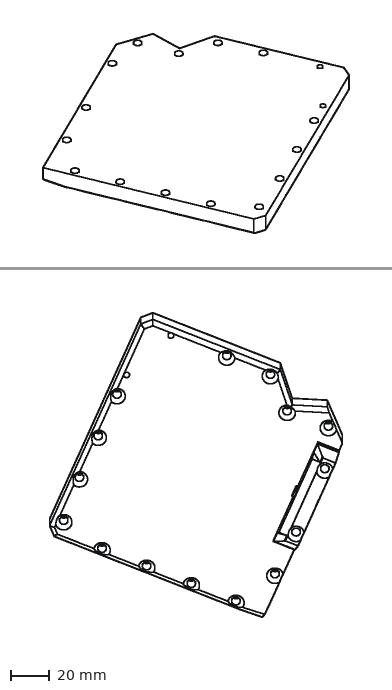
import cadquery as cq
import math

LENGTH_X = 121.25
WIDTH_Y = 130.73
TOTAL_HEIGHT = 18.73
PLATE_THICKNESS = 12.0

RIGHT_CORNER_CUT = 4.75
LEFT_CORNER_CUT = 14.75
LEFT_CUT_START_Y = 106.4
NOTCH_BOTTOM = (31.8, 115.1)
NOTCH_RIGHT_X = 45.1
FRONT_BEVEL = 2.85
BOTTOM_BEVEL = 2.4

CORNER_BEVEL_DEPTH = 7.6
CORNER_BEVEL_Y = 3.2
CORNER_BEVEL_EDGE_DEPTH = 11.0
CORNER_RELIEF_X = 12.0
CORNER_RELIEF_Y = 9.5
CORNER_BEVEL_RISE = 1.5

FLANGE_CENTER_Y = 72.5
FLANGE_LENGTH = 58.6
FLANGE_THICKNESS = 12.0
FLANGE_BEVEL_Y = 4.4
FLANGE_BEVEL_Z = 4.7
FLANGE_STEP_X = 7.2
FLANGE_STEP_HEIGHT = 0.4
FLANGE_FLARE_Y = 0.4
FLANGE_FLARE_Z = 1.0
RELIEF_LENGTH = 7.5
RELIEF_WALL_TILT = 27.0
PORT_DIAMETER = 6.4
PORT_DEPTH = 13.1
PORT_END_TILT = 23.0

SCREW_DIAMETER = 4.4
SINK_DIAMETER = 8.5
SINK_ANGLE = 75.0
DOWEL_DIAMETER = 3.0
EDGE_INSET = 3.6
HOLE_PITCH = 25.0
FRONT_ROW_START_X = 16.35
FRONT_ROW_COUNT = 4
RIGHT_ROW_START_Y = 35.25
RIGHT_ROW_COUNT = 3
RIGHT_INSET = 3.85
BACK_INSET = 3.75
FLANGE_SCREWS_Y = (53.3, 91.4)
PLATE_SCREWS = (
    [(FRONT_ROW_START_X + i * HOLE_PITCH, EDGE_INSET) for i in range(FRONT_ROW_COUNT)]
    + [
        (LENGTH_X - RIGHT_INSET, RIGHT_ROW_START_Y + i * HOLE_PITCH)
        for i in range(RIGHT_ROW_COUNT)
    ]
    + [
        (115.6, 10.2),
        (EDGE_INSET, 25.3),
        (10.0, 111.4),
        (32.9, 110.9),
        (48.7, 126.2),
        (73.5, WIDTH_Y - BACK_INSET),
    ]
)
DOWELS = [(104.8, WIDTH_Y - BACK_INSET), (LENGTH_X - RIGHT_INSET, 98.0)]


def cut_below(body, p, q, r):
    """Remove everything beneath the plane through three points."""
    a, b, c = (cq.Vector(*point) for point in (p, q, r))
    normal = (b - a).cross(c - a)
    if normal.z > 0:
        normal = normal * -1
    size = 2 * max(LENGTH_X, WIDTH_Y)
    plane = cq.Plane(origin=a.toTuple(), normal=normal.toTuple())
    return body.cut(cq.Workplane(plane).rect(size, size).extrude(size))


def make_plate():
    vertex_x = LEFT_CORNER_CUT
    vertex_y = LEFT_CUT_START_Y + LEFT_CORNER_CUT
    plate = (
        cq.Workplane("XY")
        .moveTo(0, 0)
        .lineTo(LENGTH_X - RIGHT_CORNER_CUT, 0)
        .lineTo(LENGTH_X, RIGHT_CORNER_CUT)
        .lineTo(LENGTH_X, WIDTH_Y - RIGHT_CORNER_CUT)
        .lineTo(LENGTH_X - RIGHT_CORNER_CUT, WIDTH_Y)
        .lineTo(NOTCH_RIGHT_X, WIDTH_Y)
        .lineTo(*NOTCH_BOTTOM)
        .lineTo(vertex_x, vertex_y)
        .lineTo(0, LEFT_CUT_START_Y)
        .close()
        .extrude(-PLATE_THICKNESS)
    )
    beveled = plate.faces("<Z").edges().filter(
        lambda edge: edge.Center().x > vertex_x and edge.Center().y > 0
    )
    plate = beveled.chamfer(BOTTOM_BEVEL)
    return cut_below(
        plate,
        (0, 0, -PLATE_THICKNESS + FRONT_BEVEL),
        (LENGTH_X, 0, -PLATE_THICKNESS + FRONT_BEVEL),
        (0, FRONT_BEVEL, -PLATE_THICKNESS),
    )


def relieve_front_left_corner(plate):
    bevel_corner = (0, CORNER_BEVEL_Y, -CORNER_BEVEL_EDGE_DEPTH)
    plate = cut_below(
        plate,
        (0, 0, -CORNER_BEVEL_DEPTH),
        (CORNER_RELIEF_X, 0, -CORNER_BEVEL_DEPTH - CORNER_BEVEL_RISE),
        bevel_corner,
    )
    return cut_below(
        plate,
        bevel_corner,
        (CORNER_RELIEF_X, CORNER_BEVEL_Y, -PLATE_THICKNESS),
        (0, CORNER_RELIEF_Y, -PLATE_THICKNESS),
    )


def make_corner_relief():
    """Cutter for the inner lower edge at the front end of the flange."""
    start_y = FLANGE_CENTER_Y - FLANGE_LENGTH / 2
    shoulder = -TOTAL_HEIGHT + FLANGE_BEVEL_Z
    wall_lean = FLANGE_BEVEL_Z * math.tan(math.radians(RELIEF_WALL_TILT))
    slope = (
        cq.Workplane("XZ", origin=(0, start_y, 0))
        .moveTo(FLANGE_THICKNESS, shoulder)
        .lineTo(FLANGE_STEP_X, -TOTAL_HEIGHT)
        .lineTo(FLANGE_THICKNESS, -TOTAL_HEIGHT)
        .close()
        .extrude(-RELIEF_LENGTH)
    )
    span = (
        cq.Workplane("YZ", origin=(0, start_y, 0))
        .moveTo(0, shoulder)
        .lineTo(RELIEF_LENGTH - wall_lean, shoulder)
        .lineTo(RELIEF_LENGTH, -TOTAL_HEIGHT)
        .lineTo(0, -TOTAL_HEIGHT)
        .close()
        .extrude(FLANGE_THICKNESS)
    )
    return slope.intersect(span)


def make_flange():
    half = FLANGE_LENGTH / 2
    shoulder = -TOTAL_HEIGHT + FLANGE_BEVEL_Z
    bottom_half = half - FLANGE_BEVEL_Y
    overlap = -PLATE_THICKNESS / 2
    flange = (
        cq.Workplane("YZ", origin=(0, FLANGE_CENTER_Y, 0))
        .moveTo(-half - FLANGE_FLARE_Y, overlap)
        .lineTo(-half - FLANGE_FLARE_Y, -PLATE_THICKNESS)
        .lineTo(-half, -PLATE_THICKNESS - FLANGE_FLARE_Z)
        .lineTo(-half, shoulder)
        .lineTo(-bottom_half, -TOTAL_HEIGHT)
        .lineTo(bottom_half, -TOTAL_HEIGHT)
        .lineTo(half, shoulder)
        .lineTo(half, -PLATE_THICKNESS - FLANGE_FLARE_Z)
        .lineTo(half + FLANGE_FLARE_Y, -PLATE_THICKNESS)
        .lineTo(half + FLANGE_FLARE_Y, overlap)
        .close()
        .extrude(FLANGE_THICKNESS)
    )
    step = cq.Workplane("XY").box(
        FLANGE_THICKNESS, FLANGE_LENGTH, FLANGE_STEP_HEIGHT, centered=(False, True, False)
    )
    flange = flange.cut(step.translate((FLANGE_STEP_X, FLANGE_CENTER_Y, -TOTAL_HEIGHT)))
    front_relief = make_corner_relief()
    back_relief = front_relief.mirror("XZ", (0, FLANGE_CENTER_Y, 0))
    return flange.cut(front_relief).cut(back_relief)


def drill_screws(body, points, lower_z):
    """Through holes, countersunk from the lower face."""
    sink_depth = (SINK_DIAMETER - SCREW_DIAMETER) / 2 / math.tan(math.radians(SINK_ANGLE / 2))
    for x, y in points:
        hole = cq.Workplane("XY").circle(SCREW_DIAMETER / 2).extrude(-TOTAL_HEIGHT)
        sink = cq.Workplane(
            cq.Solid.makeCone(SINK_DIAMETER / 2, SCREW_DIAMETER / 2, sink_depth)
        ).translate((0, 0, lower_z))
        body = body.cut(hole.union(sink).translate((x, y, 0)))
    return body


def drill_dowels(body):
    return body.cut(
        cq.Workplane("XY").pushPoints(DOWELS).circle(DOWEL_DIAMETER / 2).extrude(-TOTAL_HEIGHT)
    )


def drill_port(body):
    """Blind cross hole whose end wall in the plate leans outward."""
    radius = PORT_DIAMETER / 2
    end_lean = PORT_DIAMETER * math.tan(math.radians(PORT_END_TILT))
    bore = (
        cq.Workplane("YZ", origin=(0, FLANGE_CENTER_Y, -PORT_DEPTH))
        .circle(radius)
        .extrude(FLANGE_THICKNESS + end_lean)
    )
    reach = (
        cq.Workplane("XZ", origin=(0, FLANGE_CENTER_Y, -PORT_DEPTH))
        .moveTo(0, radius)
        .lineTo(FLANGE_THICKNESS, radius)
        .lineTo(FLANGE_THICKNESS + end_lean, -radius)
        .lineTo(0, -radius)
        .close()
        .extrude(radius, both=True)
    )
    return body.cut(bore.intersect(reach))


plate = relieve_front_left_corner(make_plate())
body = plate.union(make_flange())
body = drill_screws(body, PLATE_SCREWS, -PLATE_THICKNESS)
body = drill_screws(body, [(EDGE_INSET, y) for y in FLANGE_SCREWS_Y], -TOTAL_HEIGHT)
body = drill_dowels(body)
result = drill_port(body)